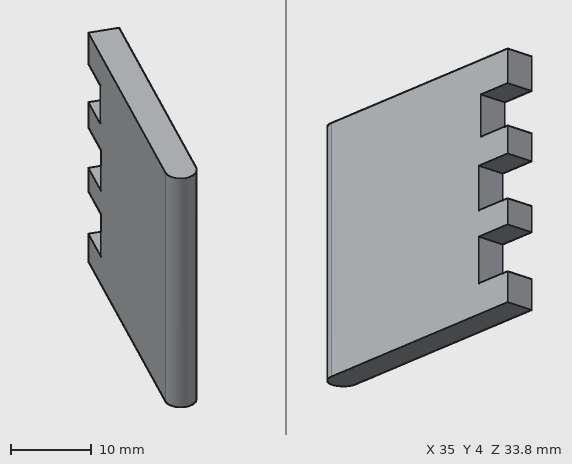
import cadquery as cq

length = 35.0
thickness = 4.0
height = 33.8
nose_radius = thickness / 2

notches = [
    (4.13, 10.35, 5.42),
    (13.85, 19.8, 5.42),
    (23.55, 29.2, 5.05),
]


def rounded_plate():
    """Flat plate whose +X edge is a full half-round."""
    nose_start = length - nose_radius
    return (
        cq.Workplane("XY")
        .moveTo(0, -nose_radius)
        .lineTo(nose_start, -nose_radius)
        .threePointArc((length, 0), (nose_start, nose_radius))
        .lineTo(0, nose_radius)
        .close()
        .extrude(height)
    )


def notch_cutter(bottom, top, depth):
    """Block that opens the -X edge through the full thickness."""
    return (
        cq.Workplane("XY")
        .box(depth, thickness, top - bottom, centered=(False, True, False))
        .translate((0, 0, bottom))
    )


result = rounded_plate()
for bottom, top, depth in notches:
    result = result.cut(notch_cutter(bottom, top, depth))